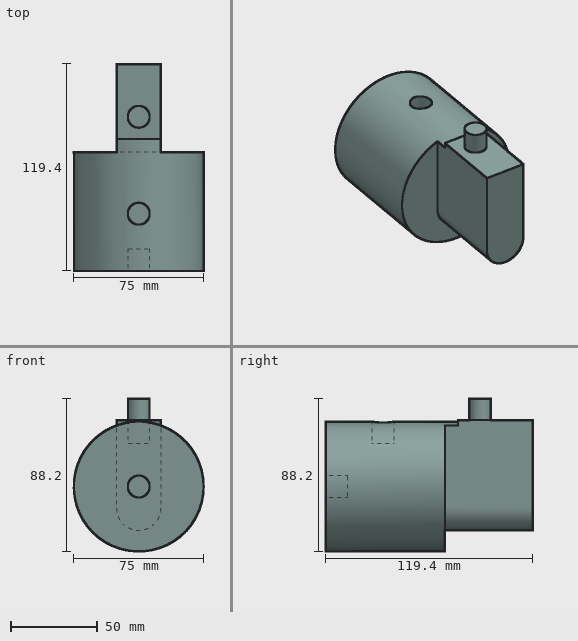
import cadquery as cq

body_diameter = 75.0
body_length = 68.6
body_front = -59.7

total_length = 119.4
tongue_width = 25.4
tongue_top = 38.3
tongue_bottom = -25.3
raised_length = 43.2

pin_diameter = 12.7
pin_top = 50.7
pin_y = 29.2
hole_depth = 12.7
cross_hole_y = -26.6

body_radius = body_diameter / 2
body_rear = body_front + body_length
tongue_rear = body_front + total_length
raised_front = tongue_rear - raised_length


def cylinder_along_y(diameter, front, length):
    """Cylinder on the Y axis that starts at front and runs toward +Y."""
    return cq.Workplane("XZ", origin=(0, front, 0)).circle(diameter / 2).extrude(-length)


def upright_cylinder(y, bottom, top):
    """Vertical cylinder of the pin's diameter."""
    plane = cq.Workplane("XY", origin=(0, y, bottom))
    return plane.circle(pin_diameter / 2).extrude(top - bottom)


def tongue_bar(front, rear):
    """Upright bar with a half-round lower edge, running along Y."""
    half_width = tongue_width / 2
    round_center = tongue_bottom + half_width
    return (
        cq.Workplane("XZ", origin=(0, front, 0))
        .moveTo(-half_width, tongue_top)
        .lineTo(-half_width, round_center)
        .threePointArc((0, tongue_bottom), (half_width, round_center))
        .lineTo(half_width, tongue_top)
        .close()
        .extrude(front - rear)
    )


body = cylinder_along_y(body_diameter, body_front, body_length)

neck_envelope = cylinder_along_y(body_diameter, body_rear, raised_front - body_rear)
neck = tongue_bar(body_rear, raised_front).intersect(neck_envelope)
raised_block = tongue_bar(raised_front, tongue_rear)
pin = upright_cylinder(pin_y, tongue_top, pin_top)

axial_hole = cylinder_along_y(pin_diameter, body_front, hole_depth)
cross_hole = upright_cylinder(cross_hole_y, body_radius - hole_depth, body_radius)

result = body.union(neck).union(raised_block).union(pin).cut(axial_hole).cut(cross_hole)